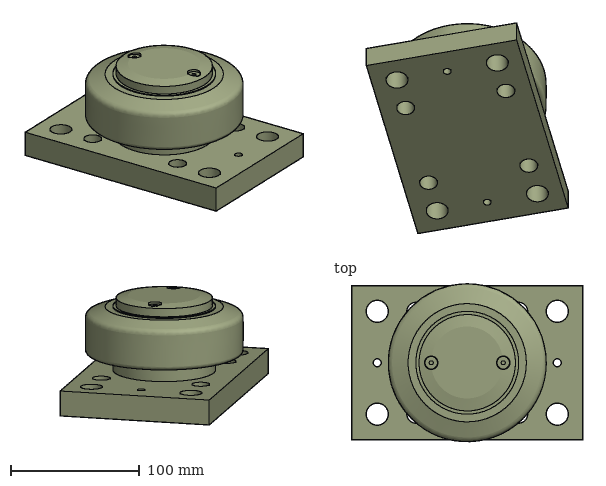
import cadquery as cq
import math

PLATE_LENGTH = 180.0
PLATE_WIDTH = 120.0
PLATE_THICKNESS = 20.0
MOUNTING_X = 70.0
MOUNTING_Y = 40.0
MOUNTING_DIAMETER = 17.0
INNER_X = 40.0
INNER_Y = 40.0
INNER_DIAMETER = 13.84
PIN_HOLE_DIAMETER = 6.0

STUD_DIAMETER = 80.0
STUD_TOP = 71.2

ROLLER_DIAMETER = 123.0
ROLLER_BOTTOM = 33.7
ROLLER_TOP = 70.5
ROLLER_FACE_DIAMETER = 92.0
ROLLER_CONE_ANGLE = 19.5
ROLLER_CROWN_RADIUS = 1000.0
ROLLER_UPPER_FILLET = 4.7
ROLLER_LOWER_FILLET = 3.0

CAP_DIAMETER = 75.0
CAP_FLAT_DIAMETER = 56.0
CAP_TOP = 79.5
CAP_RIM_DROP = 1.75

SCREW_OFFSET = CAP_FLAT_DIAMETER / 2
COUNTERBORE_DIAMETER = 10.4
COUNTERBORE_DEPTH = 4.0
SCREW_HEAD_DIAMETER = 9.75
SCREW_HEAD_RECESS = 1.6
SOCKET_CORNER_DIAMETER = 3.5
SOCKET_SIDES = 6
SOCKET_DEPTH = 1.5


def cylinder(diameter, bottom, top):
    """Upright cylinder on the part axis."""
    return cq.Workplane("XY").workplane(offset=bottom).circle(diameter / 2).extrude(top - bottom)


def corner_points(x, y):
    """Four points mirrored about both plate centre lines."""
    return [(side_x * x, side_y * y) for side_x in (-1, 1) for side_y in (-1, 1)]


def base_plate():
    """Rectangular plate with its through holes."""
    plate = cq.Workplane("XY").box(PLATE_LENGTH, PLATE_WIDTH, PLATE_THICKNESS, centered=(True, True, False))
    pins = [(-MOUNTING_X, 0), (MOUNTING_X, 0)]
    hole_groups = [
        (corner_points(MOUNTING_X, MOUNTING_Y), MOUNTING_DIAMETER),
        (corner_points(INNER_X, INNER_Y), INNER_DIAMETER),
        (pins, PIN_HOLE_DIAMETER),
    ]
    for points, diameter in hole_groups:
        plate = plate.faces(">Z").workplane(origin=(0, 0, 0)).pushPoints(points).hole(diameter)
    return plate


def roller():
    """Crowned roller with a conical upper shoulder and rounded rims."""
    radius = ROLLER_DIAMETER / 2
    face_radius = ROLLER_FACE_DIAMETER / 2
    shoulder_z = ROLLER_TOP - (radius - face_radius) * math.tan(math.radians(ROLLER_CONE_ANGLE))
    half_height = (shoulder_z - ROLLER_BOTTOM) / 2
    crown_z = ROLLER_BOTTOM + half_height
    crown_sag = ROLLER_CROWN_RADIUS - math.sqrt(ROLLER_CROWN_RADIUS**2 - half_height**2)
    end_radius = radius - crown_sag
    body = (
        cq.Workplane("XZ")
        .moveTo(0, ROLLER_BOTTOM)
        .lineTo(end_radius, ROLLER_BOTTOM)
        .threePointArc((radius, crown_z), (end_radius, shoulder_z))
        .lineTo(face_radius, ROLLER_TOP)
        .lineTo(0, ROLLER_TOP)
        .close()
        .revolve(360, (0, 0), (0, 1))
    )
    body = body.faces("<Z").edges().fillet(ROLLER_LOWER_FILLET)
    shoulder = cq.selectors.NearestToPointSelector((0, 0, shoulder_z))
    return body.edges(shoulder).fillet(ROLLER_UPPER_FILLET)


def cap():
    """Round cap whose rim slopes down from the flat centre."""
    rim_z = CAP_TOP - CAP_RIM_DROP
    return (
        cq.Workplane("XZ")
        .moveTo(0, STUD_TOP)
        .lineTo(CAP_DIAMETER / 2, STUD_TOP)
        .lineTo(CAP_DIAMETER / 2, rim_z)
        .lineTo(CAP_FLAT_DIAMETER / 2, CAP_TOP)
        .lineTo(0, CAP_TOP)
        .close()
        .revolve(360, (0, 0), (0, 1))
    )


def add_screw(body, x):
    """Sink a counterbore at x and set a socket-head screw in it."""
    head_top = CAP_TOP - SCREW_HEAD_RECESS
    floor = CAP_TOP - COUNTERBORE_DEPTH
    body = body.cut(cylinder(COUNTERBORE_DIAMETER, floor, CAP_TOP).translate((x, 0, 0)))
    body = body.union(cylinder(SCREW_HEAD_DIAMETER, floor, head_top).translate((x, 0, 0)))
    socket = (
        cq.Workplane("XY")
        .workplane(offset=head_top)
        .center(x, 0)
        .polygon(SOCKET_SIDES, SOCKET_CORNER_DIAMETER)
        .extrude(-SOCKET_DEPTH)
    )
    return body.cut(socket)


result = base_plate()
result = result.union(cylinder(STUD_DIAMETER, PLATE_THICKNESS, STUD_TOP))
result = result.union(roller())
result = result.union(cap())
for screw_x in (-SCREW_OFFSET, SCREW_OFFSET):
    result = add_screw(result, screw_x)